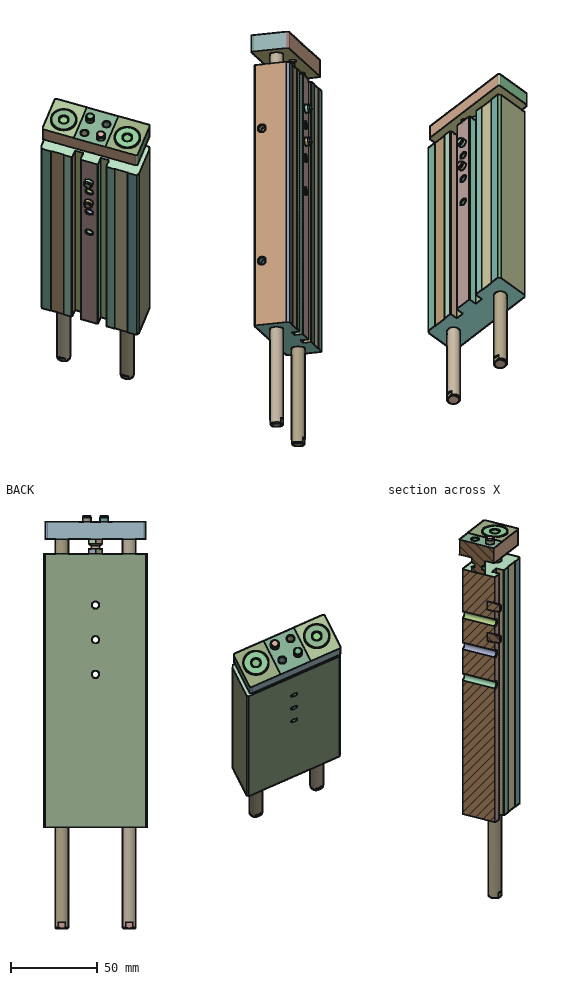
import cadquery as cq
import math


TOTAL_HEIGHT = 239.5

PLATE_WIDTH = 58.5
PLATE_BACK = 12.7
PLATE_FRONT = -10.5
PLATE_BOTTOM = 226.0
PLATE_TOP = 236.0
PLATE_CORNER = 1.2
RELIEF_WIDTH = 19.5
RELIEF_DEPTH = 0.12

HOUSING_WIDTH = 60.0
HOUSING_BACK = 10.5
HOUSING_FRONT = -11.3
HOUSING_BOTTOM = 58.7
HOUSING_TOP = 217.4
BACK_CORNER = 1.0
FRONT_CHAMFER_X = 1.0
FRONT_CHAMFER_Y = 1.7
STRIP_DEPTH = 0.2

SLOT_OFFSET = 8.0
SLOT_WIDTH = 5.0
SLOT_DEPTH = 5.0
SLOT_LIP = 0.5

THREAD_DIAMETER = 5.0
CORE_DIAMETER = 4.0
DRILL_POINT_ANGLE = 118

HOLE_PITCH = 10.0
TOP_PIN_Z = HOUSING_TOP - 19.6
FRONT_PIN_STEPS = (0, 2)
FRONT_HOLE_STEPS = (1, 3, 5)

PORT_Y = 5.5
PORT_INSET = 39.0
PORT_DEPTH = 5.0

ROD_SPACING = 39.0
ROD_DIAMETER = 8.0
ROD_CHAMFER = 0.7
FLAT_SPACING = 6.7
FLAT_HEIGHT = 3.5
HEAD_DIAMETER = 15.0
HEAD_HEIGHT = 5.0
DIMPLE_DIAMETER = 6.0
DIMPLE_FLOOR = 5.0
DIMPLE_DEPTH = 0.5
HEAD_CHAMFER = 0.5

HEX_FLATS = 8.0
NUT_HEIGHT = 2.9
NUT_CONE = 1.0
NECK_DIAMETER = 5.0

PIN_DIAMETER = THREAD_DIAMETER
PIN_PROJECTION = TOTAL_HEIGHT - PLATE_TOP
FRONT_PIN_PROJECTION = 3.0
PIN_EMBED = 5.0
PIN_CHAMFER = 0.5
PIN_CHAMFER_HEIGHT = 1.0

rod_places = (-ROD_SPACING / 2, ROD_SPACING / 2)
half_pitch = HOLE_PITCH / 2
plate_pin_places = ((-half_pitch, half_pitch), (half_pitch, -half_pitch))
plate_hole_places = ((-half_pitch, -half_pitch), (half_pitch, half_pitch))


def disc(diameter, bottom, top):
    """Upright cylinder on the Z axis."""
    return cq.Workplane("XY").workplane(offset=bottom).circle(diameter / 2).extrude(top - bottom)


def block(width, back, front, bottom, top):
    """Box centred in X."""
    box = cq.Workplane("XY").box(width, back - front, top - bottom, centered=(True, False, False))
    return box.translate((0, front, bottom))


def threaded_hole(thread, core, depth):
    """Cutter going down from Z = 0: a chamfered mouth above a narrower core."""
    mouth_depth = (thread - core) / 2
    mouth = (
        cq.Workplane("XY").circle(thread / 2)
        .workplane(offset=-mouth_depth).circle(core / 2)
        .loft()
    )
    return mouth.union(disc(core, -depth, 0))


def drilled_hole(thread, core, depth):
    """Threaded hole ending in a drill point."""
    point_height = core / 2 / math.tan(math.radians(DRILL_POINT_ANGLE / 2))
    point = cq.Solid.makeCone(core / 2, 0, point_height, cq.Vector(0, 0, -depth), cq.Vector(0, 0, -1))
    return threaded_hole(thread, core, depth).union(cq.Workplane(point))


def facing_front(shape, z):
    """Turn an upright shape so that its top faces -Y, and set it on the housing front."""
    return shape.rotate((0, 0, 0), (1, 0, 0), 90).translate((0, HOUSING_FRONT, z))


def make_guide_rod(x):
    shaft = disc(ROD_DIAMETER, 0, PLATE_TOP - HEAD_HEIGHT).faces("<Z").chamfer(ROD_CHAMFER)
    tip = disc(2 * ROD_DIAMETER, 0, FLAT_HEIGHT)
    between_flats = block(2 * ROD_DIAMETER, FLAT_SPACING / 2, -FLAT_SPACING / 2, 0, FLAT_HEIGHT)
    shaft = shaft.cut(tip.cut(between_flats))
    head = disc(HEAD_DIAMETER, PLATE_TOP - HEAD_HEIGHT, PLATE_TOP).faces(">Z").chamfer(HEAD_CHAMFER)
    dimple = threaded_hole(DIMPLE_DIAMETER, DIMPLE_FLOOR, DIMPLE_DEPTH).translate((0, 0, PLATE_TOP))
    return shaft.union(head).cut(dimple).translate((x, 0, 0))


def make_pin(projection):
    return disc(PIN_DIAMETER, -PIN_EMBED, projection).faces(">Z").chamfer(PIN_CHAMFER_HEIGHT, PIN_CHAMFER)


def make_plate():
    plate = block(PLATE_WIDTH, PLATE_BACK, PLATE_FRONT, PLATE_BOTTOM, PLATE_TOP)
    plate = plate.edges("|Z").fillet(PLATE_CORNER)
    for x in rod_places:
        plate = plate.cut(disc(ROD_DIAMETER, PLATE_BOTTOM, PLATE_TOP).translate((x, 0, 0)))
        plate = plate.cut(disc(HEAD_DIAMETER, PLATE_TOP - HEAD_HEIGHT, PLATE_TOP).translate((x, 0, 0)))
    for x, y in plate_pin_places:
        plate = plate.cut(disc(PIN_DIAMETER, PLATE_TOP - PIN_EMBED, PLATE_TOP).translate((x, y, 0)))
    for x, y in plate_hole_places:
        hole = threaded_hole(THREAD_DIAMETER, CORE_DIAMETER, PLATE_TOP - PLATE_BOTTOM)
        plate = plate.cut(hole.translate((x, y, PLATE_TOP)))
    relief = block(RELIEF_WIDTH, PLATE_BACK, PLATE_FRONT, PLATE_TOP - RELIEF_DEPTH, PLATE_TOP)
    plate = plate.cut(relief)
    return plate.union(make_stop_bolt())


def hexagon(bottom):
    """Nut with two corners on the Y axis."""
    corners = HEX_FLATS / math.cos(math.pi / 6)
    nut = cq.Workplane("XY").polygon(6, corners).extrude(NUT_HEIGHT)
    return nut.rotate((0, 0, 0), (0, 0, 1), 90).translate((0, 0, bottom))


def make_stop_bolt():
    """Neck between two nuts, one under the plate and one resting on the housing."""
    cone_top = PLATE_BOTTOM - NUT_HEIGHT
    upper_nut = hexagon(cone_top)
    cone = (
        cq.Workplane("XY").workplane(offset=cone_top - NUT_CONE).circle(NECK_DIAMETER / 2)
        .workplane(offset=NUT_CONE).circle(HEX_FLATS / 2)
        .loft()
    )
    neck = disc(NECK_DIAMETER, HOUSING_TOP, PLATE_BOTTOM)
    return neck.union(hexagon(HOUSING_TOP)).union(cone).union(upper_nut)


def slot_cutter(x):
    """Groove along the housing front with chamfered lips."""
    half = SLOT_WIDTH / 2
    outline = [
        (-half - SLOT_LIP, 0),
        (-half, SLOT_LIP),
        (-half, SLOT_DEPTH),
        (half, SLOT_DEPTH),
        (half, SLOT_LIP),
        (half + SLOT_LIP, 0),
    ]
    groove = cq.Workplane("XY").polyline(outline).close().extrude(HOUSING_TOP - HOUSING_BOTTOM)
    return groove.translate((x, HOUSING_FRONT, HOUSING_BOTTOM))


def make_housing():
    side = HOUSING_WIDTH / 2
    outline = [
        (-side, HOUSING_BACK),
        (-side, HOUSING_FRONT + FRONT_CHAMFER_Y),
        (-side + FRONT_CHAMFER_X, HOUSING_FRONT),
        (side - FRONT_CHAMFER_X, HOUSING_FRONT),
        (side, HOUSING_FRONT + FRONT_CHAMFER_Y),
        (side, HOUSING_BACK),
    ]
    housing = cq.Workplane("XY").polyline(outline).close().extrude(HOUSING_TOP - HOUSING_BOTTOM)
    housing = housing.translate((0, 0, HOUSING_BOTTOM)).edges(">Y and |Z").chamfer(BACK_CORNER)
    for x in (-SLOT_OFFSET, SLOT_OFFSET):
        housing = housing.cut(slot_cutter(x))
    for x in rod_places:
        strip = block(ROD_DIAMETER, HOUSING_FRONT + STRIP_DEPTH, HOUSING_FRONT, HOUSING_BOTTOM, HOUSING_TOP)
        housing = housing.cut(strip.translate((x, 0, 0)))
        housing = housing.cut(disc(ROD_DIAMETER, HOUSING_BOTTOM, HOUSING_TOP).translate((x, 0, 0)))
    for step in FRONT_HOLE_STEPS:
        hole = threaded_hole(THREAD_DIAMETER, CORE_DIAMETER, HOUSING_BACK - HOUSING_FRONT)
        housing = housing.cut(facing_front(hole, TOP_PIN_Z - step * HOLE_PITCH))
    for step in FRONT_PIN_STEPS:
        seat = disc(PIN_DIAMETER, -PIN_EMBED, 0)
        housing = housing.cut(facing_front(seat, TOP_PIN_Z - step * HOLE_PITCH))
    for z in (HOUSING_BOTTOM + PORT_INSET, HOUSING_TOP - PORT_INSET):
        port = drilled_hole(THREAD_DIAMETER, CORE_DIAMETER, PORT_DEPTH).rotate((0, 0, 0), (0, 1, 0), -90)
        housing = housing.cut(port.translate((-side, PORT_Y, z)))
    return housing


housing = make_housing()
plate = make_plate()
guide_rods = [make_guide_rod(x) for x in rod_places]
plate_pins = [make_pin(PIN_PROJECTION).translate((x, y, PLATE_TOP)) for x, y in plate_pin_places]
front_pins = [
    facing_front(make_pin(FRONT_PIN_PROJECTION), TOP_PIN_Z - step * HOLE_PITCH)
    for step in FRONT_PIN_STEPS
]

bodies = [housing, plate] + guide_rods + plate_pins + front_pins
result = cq.Compound.makeCompound([body.solids().val() for body in bodies])